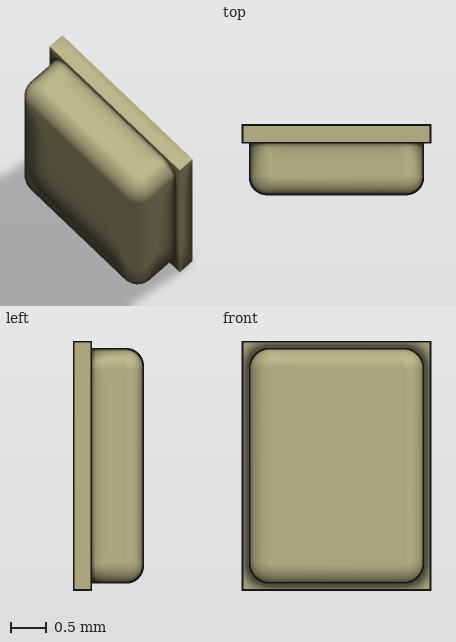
import cadquery as cq

board_width = 2.65
board_height = 3.5
board_thickness = 0.25

total_depth = 0.98
lid_margin = 0.1
lid_width = board_width - 2 * lid_margin
lid_height = board_height - 2 * lid_margin
lid_depth = total_depth - board_thickness
lid_corner_radius = 0.28
lid_edge_radius = 0.25


def make_board():
    """Plain rectangular plate from Y = 0 to Y = -board_thickness."""
    return cq.Workplane("XZ").rect(board_width, board_height).extrude(board_thickness)


def make_lid():
    """Solid cap with four rounded corners along Y and a rounded rim around its front face."""
    block = (
        cq.Workplane("XZ", origin=(0, -board_thickness, 0))
        .rect(lid_width, lid_height)
        .extrude(lid_depth)
    )
    rounded_block = block.edges("|Y").fillet(lid_corner_radius)
    return rounded_block.faces("<Y").edges().fillet(lid_edge_radius)


board = make_board()
lid = make_lid()

result = cq.Compound.makeCompound([board.val(), lid.val()])